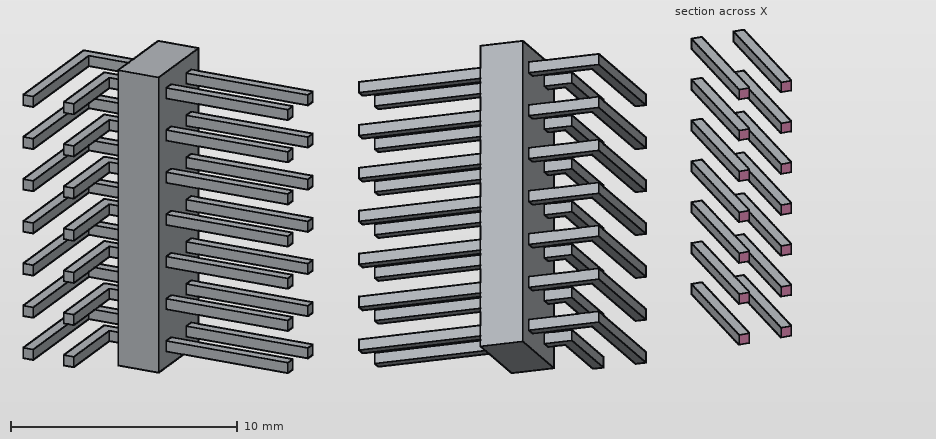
import cadquery as cq

pitch = 2.0
positions = 7
row_count = 2
pin_size = 0.5

body_width = 2.0
body_depth = row_count * pitch
body_height = 14.01
body_start = 3.3

overall_length = 11.3
overall_depth = 6.8

outer_row_y = -pitch / 2
inner_row_y = outer_row_y - pitch
tail_tip_y = -overall_depth


def make_body():
    """Plain rectangular block that holds both pin rows."""
    block = cq.Workplane("XY").box(
        body_width, body_depth, body_height, centered=(False, False, True)
    )
    return block.translate((body_start, -body_depth, 0))


def bent_pin(tail_x, row_y, center_z):
    """Square L-shaped pin: a leg along X with its tail bent toward -Y."""
    back_y = row_y + pin_size / 2
    front_y = row_y - pin_size / 2
    outline = [
        (tail_x, back_y),
        (overall_length, back_y),
        (overall_length, front_y),
        (tail_x + pin_size, front_y),
        (tail_x + pin_size, tail_tip_y),
        (tail_x, tail_tip_y),
    ]
    return (
        cq.Workplane("XY")
        .workplane(offset=center_z - pin_size / 2)
        .polyline(outline)
        .close()
        .extrude(pin_size)
    )


result = make_body()
for index in range(positions):
    pin_z = (index - (positions - 1) / 2) * pitch
    result = result.union(bent_pin(0, outer_row_y, pin_z))
    result = result.union(bent_pin(pitch, inner_row_y, pin_z))